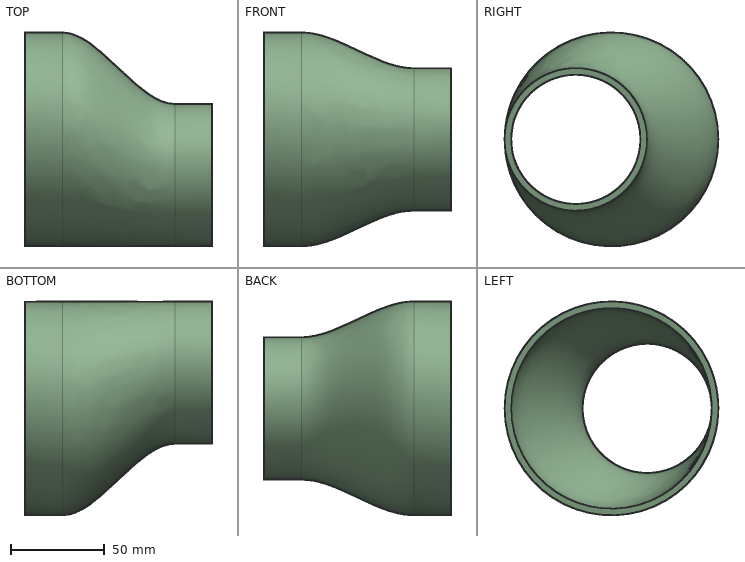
import cadquery as cq

LARGE_DIAMETER = 114.3
SMALL_DIAMETER = 76.1
LARGE_BORE = 107.1
LENGTH = 100.0
COLLAR_LENGTH = 20.0
LOFT_STEPS = 12

WALL = (LARGE_DIAMETER - LARGE_BORE) / 2
SMALL_BORE = SMALL_DIAMETER - 2 * WALL
SMALL_AXIS_Y = (SMALL_DIAMETER - LARGE_DIAMETER) / 2
TRANSITION_LENGTH = LENGTH - 2 * COLLAR_LENGTH


def ease(t):
    """S-curve from 0 to 1 with zero slope at both ends."""
    return t * t * (3 - 2 * t)


def collar(x, axis_y, diameter):
    """Straight cylinder starting at x and running along +X."""
    return cq.Workplane("YZ", origin=(x, axis_y, 0)).circle(diameter / 2).extrude(COLLAR_LENGTH)


def transition(large, small):
    """Smooth loft through circles whose size and centre follow the S-curve."""
    sections = []
    for step in range(LOFT_STEPS + 1):
        t = step / LOFT_STEPS
        radius = (large + (small - large) * ease(t)) / 2
        centre = cq.Vector(COLLAR_LENGTH + t * TRANSITION_LENGTH, SMALL_AXIS_Y * ease(t), 0)
        sections.append(cq.Wire.makeCircle(radius, centre, cq.Vector(1, 0, 0)))
    return cq.Workplane(cq.Solid.makeLoft(sections))


def reducer_body(large, small):
    """Solid reducer: large collar, transition and small collar."""
    large_collar = collar(0, 0, large)
    small_collar = collar(LENGTH - COLLAR_LENGTH, SMALL_AXIS_Y, small)
    return large_collar.union(transition(large, small)).union(small_collar)


outside = reducer_body(LARGE_DIAMETER, SMALL_DIAMETER)
bore = reducer_body(LARGE_BORE, SMALL_BORE)
result = outside.cut(bore).solids()